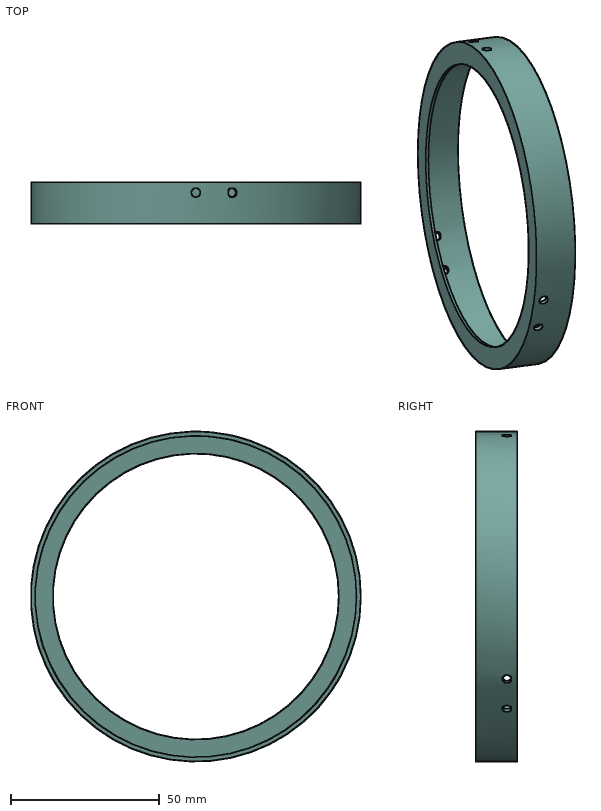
import cadquery as cq

OUTER_RADIUS = 55.5
WALL_THICKNESS = 1.5
BORE_RADIUS = 48.0
RING_WIDTH = 14.0
FLANGE_THICKNESS = 1.0

HOLE_DIAMETER = 3.0
HOLE_EDGE_DISTANCE = 3.5
PAIR_COUNT = 3
PAIR_ANGLE = 12.8

INNER_RADIUS = OUTER_RADIUS - WALL_THICKNESS
BACK_Y = RING_WIDTH / 2
FRONT_Y = -BACK_Y
FLANGE_Y = BACK_Y - FLANGE_THICKNESS
HOLE_Y = BACK_Y - HOLE_EDGE_DISTANCE


def make_ring():
    """Revolve the L-shaped wall and flange section about the Y axis."""
    section = [
        (BORE_RADIUS, BACK_Y),
        (OUTER_RADIUS, BACK_Y),
        (OUTER_RADIUS, FRONT_Y),
        (INNER_RADIUS, FRONT_Y),
        (INNER_RADIUS, FLANGE_Y),
        (BORE_RADIUS, FLANGE_Y),
    ]
    return cq.Workplane("XY").polyline(section).close().revolve(360, (0, 0, 0), (0, 1, 0))


def make_radial_cutter(angle):
    """Cylinder from the ring axis outwards, turned clockwise by angle from +Z, seen along +Y."""
    cutter_length = OUTER_RADIUS + WALL_THICKNESS
    cutter = cq.Workplane("XY", origin=(0, HOLE_Y, 0)).circle(HOLE_DIAMETER / 2).extrude(cutter_length)
    return cutter.rotate((0, 0, 0), (0, 1, 0), angle)


def cut_hole_pairs(ring):
    """Drill every pair; the first hole points to +Z."""
    for pair in range(PAIR_COUNT):
        pair_start = pair * 360 / PAIR_COUNT
        for angle in (pair_start, pair_start + PAIR_ANGLE):
            ring = ring.cut(make_radial_cutter(angle))
    return ring


result = cut_hole_pairs(make_ring())